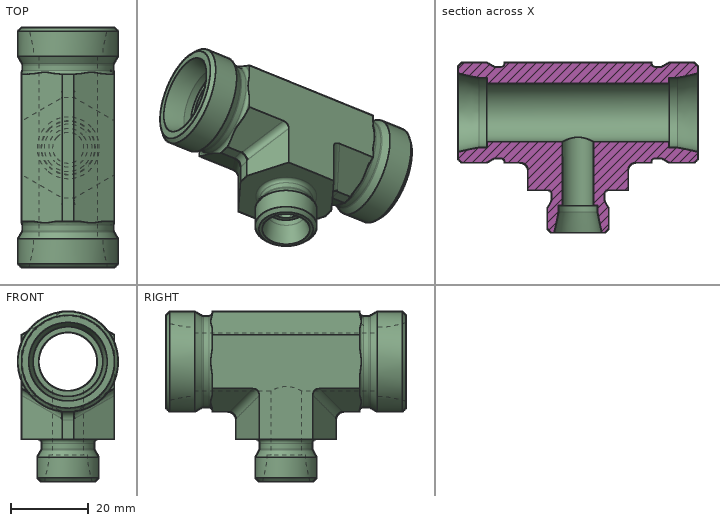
import cadquery as cq
import math

HEX_ACROSS_FLATS = 24.0
HEX_ACROSS_CORNERS = 26.0
CREASE_FILLET = 2.0

RUN_END = 31.0
BRANCH_END = 31.0
RUN_SHOULDER = 19.0
BRANCH_SHOULDER = 20.0

RUN_THREAD_LENGTH = 7.45
BRANCH_THREAD_LENGTH = 6.4
RUN_THREAD_DIAMETER = 26.0
RUN_NECK_DIAMETER = 23.7
BRANCH_THREAD_DIAMETER = 16.0
BRANCH_NECK_DIAMETER = 13.7

RUN_MOUTH_DIAMETER = 20.3
RUN_SOCKET_DIAMETER = 18.0
RUN_BORE_DIAMETER = 15.0
RUN_SOCKET_DEPTH = 7.5
BRANCH_MOUTH_DIAMETER = 12.3
BRANCH_SOCKET_DIAMETER = 10.0
BRANCH_BORE_DIAMETER = 8.0
BRANCH_SOCKET_DEPTH = 7.0

NECK_FLARE_RADIUS = 1.0
NECK_RUNOUT_RADIUS = 0.6
END_CHAMFER = 1.0
RUNOUT_ANGLE = math.radians(30)
SEAT_HALF_ANGLE = math.radians(12)


def revolve_about_z(profile):
    """Turn an outline of (radius, height) coordinates about the Z axis."""
    return profile.close().revolve(360, (0, 0), (0, 1))


def hex_prism(length):
    """Hexagon along +Z: flats on +-X, corners on +-Y cut off flat."""
    across_points = HEX_ACROSS_FLATS / math.cos(math.radians(30))
    hexagon = cq.Workplane("XY").polygon(6, across_points).extrude(length)
    hexagon = hexagon.rotate((0, 0, 0), (0, 0, 1), 30)
    corner_limit = cq.Workplane("XY").rect(across_points, HEX_ACROSS_CORNERS).extrude(length)
    return hexagon.intersect(corner_limit)


def hex_arm(shoulder, neck_diameter):
    """Hexagonal arm along +Z whose end is turned down to the neck with a concave round."""
    neck_radius = neck_diameter / 2
    arm_length = shoulder + NECK_FLARE_RADIUS
    flare_reach = NECK_FLARE_RADIUS * (1 - math.sqrt(0.5))
    turned_envelope = revolve_about_z(
        cq.Workplane("XZ")
        .lineTo(HEX_ACROSS_FLATS, 0)
        .lineTo(HEX_ACROSS_FLATS, shoulder)
        .lineTo(neck_radius + NECK_FLARE_RADIUS, shoulder)
        .threePointArc((neck_radius + flare_reach, shoulder + flare_reach), (neck_radius, arm_length))
        .lineTo(0, arm_length)
    )
    return hex_prism(arm_length).intersect(turned_envelope)


def connector_end(end, thread_length, thread_diameter, neck_diameter):
    """Neck, run-out cone and chamfered thread cylinder along +Z."""
    neck_radius = neck_diameter / 2
    thread_radius = thread_diameter / 2
    cone_top = end - thread_length
    cone_slope = math.tan(RUNOUT_ANGLE)
    cone_bottom = cone_top - (thread_radius - neck_radius) / cone_slope

    half_turn = RUNOUT_ANGLE / 2
    tangent_length = NECK_RUNOUT_RADIUS * math.tan(half_turn)
    round_start = cone_bottom - tangent_length
    round_middle = (
        neck_radius + NECK_RUNOUT_RADIUS * (1 - math.cos(half_turn)),
        round_start + NECK_RUNOUT_RADIUS * math.sin(half_turn),
    )
    round_end = (
        neck_radius + NECK_RUNOUT_RADIUS * (1 - math.cos(RUNOUT_ANGLE)),
        round_start + NECK_RUNOUT_RADIUS * math.sin(RUNOUT_ANGLE),
    )
    return revolve_about_z(
        cq.Workplane("XZ")
        .lineTo(neck_radius, 0)
        .lineTo(neck_radius, round_start)
        .threePointArc(round_middle, round_end)
        .lineTo(thread_radius, cone_top)
        .lineTo(thread_radius, end - END_CHAMFER)
        .lineTo(thread_radius - END_CHAMFER, end)
        .lineTo(0, end)
    )


def tube_seat(end, mouth_diameter, socket_diameter, socket_depth, bore_diameter):
    """Cutter along +Z: bore, stepped tube socket and flaring seat cone."""
    cone_depth = (mouth_diameter - socket_diameter) / 2 / math.tan(SEAT_HALF_ANGLE)
    return revolve_about_z(
        cq.Workplane("XZ")
        .lineTo(bore_diameter / 2, 0)
        .lineTo(bore_diameter / 2, end - socket_depth)
        .lineTo(socket_diameter / 2, end - socket_depth)
        .lineTo(socket_diameter / 2, end - cone_depth)
        .lineTo(mouth_diameter / 2, end)
        .lineTo(0, end)
    )


def both_run_sides(solid):
    """Lay a +Z solid along +Y and -Y."""
    plus_y = solid.rotate((0, 0, 0), (1, 0, 0), -90)
    minus_y = solid.rotate((0, 0, 0), (1, 0, 0), 90)
    return plus_y.union(minus_y)


def branch_side(solid):
    """Point a +Z solid along -Z."""
    return solid.rotate((0, 0, 0), (1, 0, 0), 180)


def is_crease(edge):
    """True for the inside-corner edges, which lie on the 45 degree planes z = -|y|."""
    tolerance = 0.0005
    ends = [edge.startPoint(), edge.endPoint()]
    return all(point.z < -tolerance and abs(point.z + abs(point.y)) < tolerance for point in ends)


body = both_run_sides(hex_arm(RUN_SHOULDER, RUN_NECK_DIAMETER))
body = body.union(branch_side(hex_arm(BRANCH_SHOULDER, BRANCH_NECK_DIAMETER))).clean()
crease_edges = [edge for edge in body.edges("%LINE").vals() if is_crease(edge)]
body = body.newObject(crease_edges).fillet(CREASE_FILLET)

run_connector = connector_end(RUN_END, RUN_THREAD_LENGTH, RUN_THREAD_DIAMETER, RUN_NECK_DIAMETER)
branch_connector = connector_end(
    BRANCH_END, BRANCH_THREAD_LENGTH, BRANCH_THREAD_DIAMETER, BRANCH_NECK_DIAMETER
)
body = body.union(both_run_sides(run_connector)).union(branch_side(branch_connector))

run_seat = tube_seat(
    RUN_END, RUN_MOUTH_DIAMETER, RUN_SOCKET_DIAMETER, RUN_SOCKET_DEPTH, RUN_BORE_DIAMETER
)
branch_seat = tube_seat(
    BRANCH_END, BRANCH_MOUTH_DIAMETER, BRANCH_SOCKET_DIAMETER, BRANCH_SOCKET_DEPTH, BRANCH_BORE_DIAMETER
)
result = body.cut(both_run_sides(run_seat)).cut(branch_side(branch_seat))